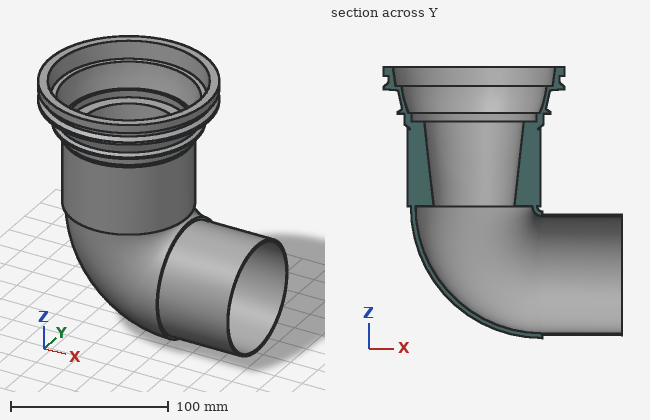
import cadquery as cq

height = 172.0
outlet_end_x = 93.9
bend_radius = 43.3
elbow_radius = 80.5 / 2
outlet_radius = 76.9 / 2
bore_radius = 74.0 / 2
bend_z = bend_radius + elbow_radius
outlet_z = elbow_radius

rim_radius = 115.0 / 2
neck_radius = 109.0 / 2
rim_bottom_z = 166.1
upper_flare_top_z = 162.0
upper_flare_z = 159.5
upper_flange_bottom_z = 157.7
funnel_top_radius = 48.3
funnel_top_z = 157.0
funnel_bottom_radius = 45.7
funnel_bottom_z = 145.3
lower_flange_radius = 97.2 / 2
lower_flare_z = 143.5
lower_flange_bottom_z = 142.2
collar_radius = 44.2
collar_bottom_z = 135.5
groove_radius = 40.5
pipe_radius = 84.5 / 2
pipe_top_z = 132.6

mouth_radius = 51.5
mouth_floor_radius = 49.7
mouth_floor_z = 160.0
bowl_top_radius = 46.0
bowl_middle_radius = 44.4
bowl_bottom_radius = 41.6
bowl_floor_z = 142.9
bowl_middle_z = (mouth_floor_z + bowl_floor_z) / 2
seat_radius = 79.1 / 2
seat_z = 137.5
throat_top_radius = 31.5
throat_bottom_radius = 25.5


def inlet_body():
    """Solid turned inlet, from the start of the bend up to the rim."""
    return (
        cq.Workplane("XZ")
        .moveTo(0, bend_z)
        .lineTo(pipe_radius, bend_z)
        .lineTo(pipe_radius, pipe_top_z)
        .lineTo(groove_radius, pipe_top_z)
        .lineTo(collar_radius, collar_bottom_z)
        .lineTo(collar_radius, lower_flange_bottom_z)
        .lineTo(lower_flange_radius, lower_flange_bottom_z)
        .lineTo(lower_flange_radius, lower_flare_z)
        .lineTo(funnel_bottom_radius, funnel_bottom_z)
        .lineTo(funnel_top_radius, funnel_top_z)
        .lineTo(rim_radius, upper_flange_bottom_z)
        .lineTo(rim_radius, upper_flare_z)
        .lineTo(neck_radius, upper_flare_top_z)
        .lineTo(neck_radius, rim_bottom_z)
        .lineTo(rim_radius, rim_bottom_z)
        .lineTo(rim_radius, height)
        .lineTo(0, height)
        .close()
        .revolve(360, (0, 0), (0, 1))
    )


def inlet_cavity():
    """Socket steps, bowl and throat tapering down to the wider elbow bore."""
    return (
        cq.Workplane("XZ")
        .moveTo(0, bend_z)
        .lineTo(throat_bottom_radius, bend_z)
        .lineTo(throat_top_radius, seat_z)
        .lineTo(seat_radius, seat_z)
        .lineTo(seat_radius, bowl_floor_z)
        .lineTo(bowl_bottom_radius, bowl_floor_z)
        .threePointArc((bowl_middle_radius, bowl_middle_z), (bowl_top_radius, mouth_floor_z))
        .lineTo(mouth_floor_radius, mouth_floor_z)
        .lineTo(mouth_radius, height)
        .lineTo(0, height)
        .close()
        .revolve(360, (0, 0), (0, 1))
    )


def bend(radius):
    """Quarter torus turning from the Z axis to +X."""
    return (
        cq.Workplane("XY", origin=(0, 0, bend_z))
        .circle(radius)
        .revolve(90, (bend_radius, 0), (bend_radius, -1))
    )


def outlet(radius):
    """Straight cylinder from the end of the bend to the outlet face."""
    return (
        cq.Workplane("YZ", origin=(bend_radius, 0, outlet_z))
        .circle(radius)
        .extrude(outlet_end_x - bend_radius)
    )


body = inlet_body().union(bend(elbow_radius)).union(outlet(outlet_radius))
cavity = inlet_cavity().union(bend(bore_radius)).union(outlet(bore_radius))
result = body.cut(cavity)